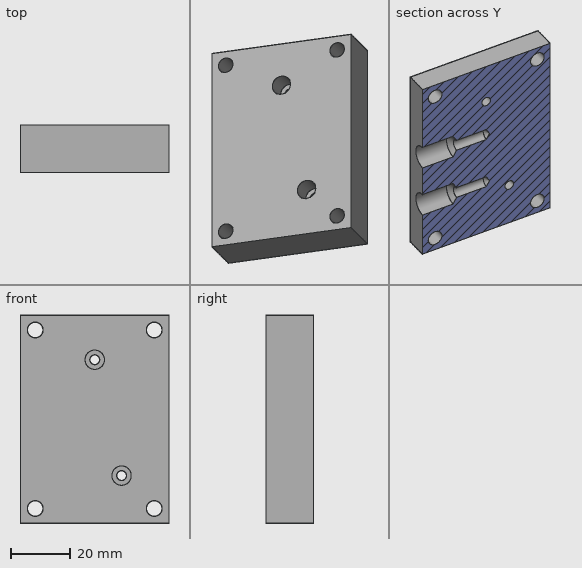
import cadquery as cq
import math

width = 50.0
thickness = 16.0
height = 70.0

corner_hole_diameter = 5.2
corner_hole_inset = 5.0

front_hole_positions = [(0, 20.0), (9.0, -19.0)]
front_hole_diameter = 3.2
counterbore_diameter = 6.5
counterbore_depth = 8.0

port_heights = [6.0, -14.0]
port_diameter = 8.55
port_depth = 12.0
pilot_diameter = 4.0
pilot_depth = 25.0
drill_point_angle = 118.0


def cone_length(start_diameter, end_diameter):
    """Length of a drill-point cone between two diameters."""
    half_angle = math.radians(drill_point_angle / 2)
    return (start_diameter - end_diameter) / 2 / math.tan(half_angle)


def port_cutter(port_height):
    """Stepped drill shape running along +X from the left face."""
    port_radius = port_diameter / 2
    pilot_radius = pilot_diameter / 2
    shoulder_end = port_depth + cone_length(port_diameter, pilot_diameter)
    tip_end = pilot_depth + cone_length(pilot_diameter, 0)
    return (
        cq.Workplane("XY")
        .moveTo(0, 0)
        .lineTo(0, port_radius)
        .lineTo(port_depth, port_radius)
        .lineTo(shoulder_end, pilot_radius)
        .lineTo(pilot_depth, pilot_radius)
        .lineTo(tip_end, 0)
        .close()
        .revolve(360, (0, 0), (1, 0))
        .translate((-width / 2, 0, port_height))
    )


block = cq.Workplane("XY").box(width, thickness, height)

result = (
    block.faces("<Y")
    .workplane(centerOption="CenterOfBoundBox")
    .rect(width - 2 * corner_hole_inset, height - 2 * corner_hole_inset, forConstruction=True)
    .vertices()
    .hole(corner_hole_diameter)
    .faces("<Y")
    .workplane(centerOption="CenterOfBoundBox")
    .pushPoints(front_hole_positions)
    .cboreHole(front_hole_diameter, counterbore_diameter, counterbore_depth)
)

for port_height in port_heights:
    result = result.cut(port_cutter(port_height))